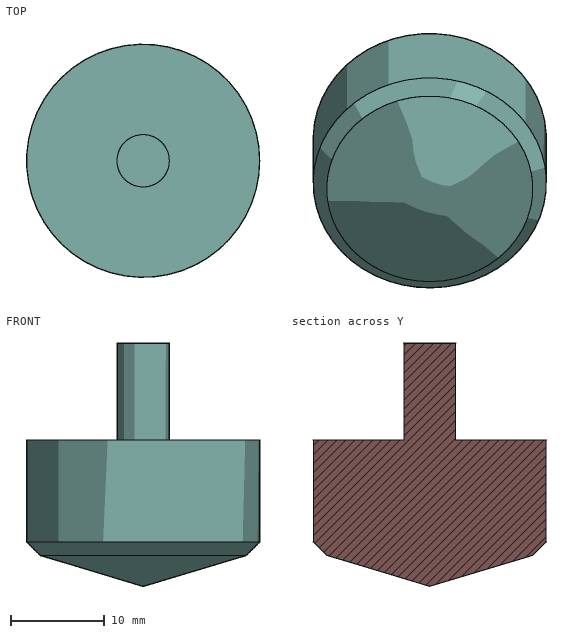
import cadquery as cq

total_height = 26.1
body_diameter = 25.0
pin_diameter = 5.6
pin_length = 10.4
chamfer_size = 1.45
cone_height = 3.31

body_radius = body_diameter / 2
pin_radius = pin_diameter / 2
cone_radius = body_radius - chamfer_size
chamfer_top = cone_height + chamfer_size
shoulder_level = total_height - pin_length

half_profile = (
    cq.Workplane("XZ")
    .moveTo(0, 0)
    .lineTo(cone_radius, cone_height)
    .lineTo(body_radius, chamfer_top)
    .lineTo(body_radius, shoulder_level)
    .lineTo(pin_radius, shoulder_level)
    .lineTo(pin_radius, total_height)
    .lineTo(0, total_height)
    .close()
)

result = half_profile.revolve(360, (0, 0, 0), (0, 1, 0))